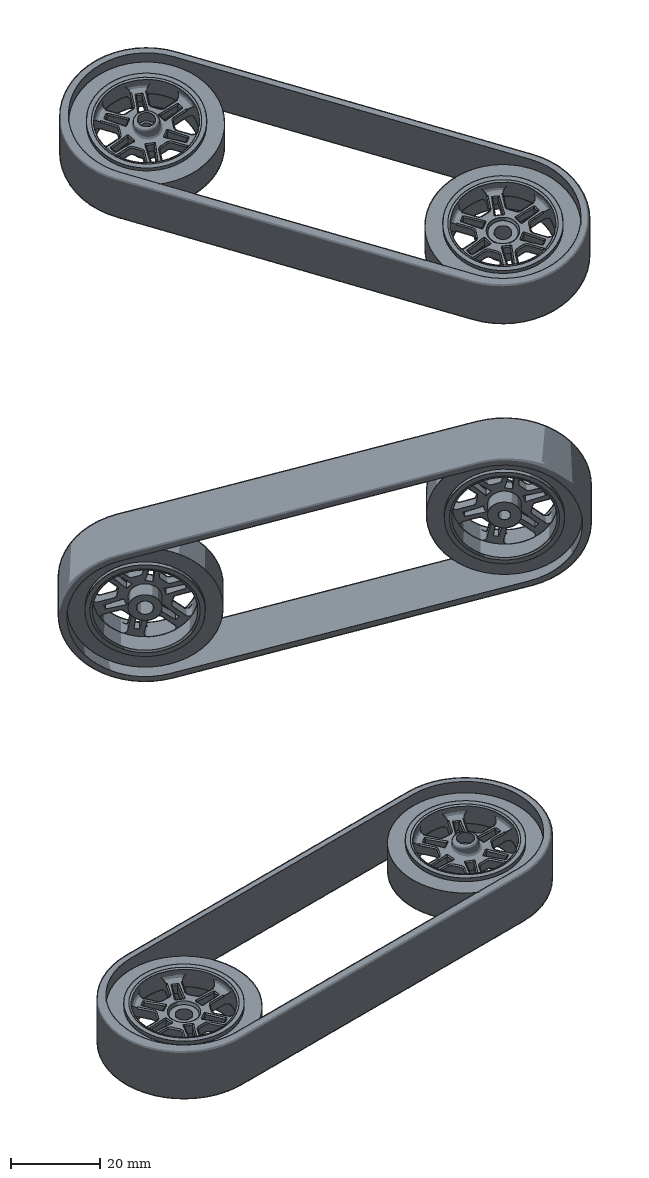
import cadquery as cq
import math

wheel_spacing = 85.0
belt_outer_radius = 19.5
belt_thickness = 2.0
belt_width = 14.6
belt_edge_fillet = 1.0

tyre_radius = belt_outer_radius - belt_thickness
tyre_width = 8.0
rim_outer_radius = 13.5
rim_lip = 1.05
rim_top = tyre_width / 2 + rim_lip
rim_inner_radius = 11.8
rim_chamfer_width = 0.55
rim_chamfer_depth = 0.2

disc_top = 2.4
disc_thickness = 2.6
disc_bottom = disc_top - disc_thickness
spoke_count = 6
spoke_half_width = 1.9
spoke_edge_chamfer = 0.3
flare_angle = 45.0
spoke_root_radius = 1.3
spoke_root_start = rim_inner_radius - spoke_root_radius
window_inner_radius = 6.3
window_rim_relief = 0.05
window_outer_radius = rim_inner_radius + window_rim_relief
window_corner_radius = 1.0

slot_inner_radius = 4.7
slot_outer_radius = 9.6
slot_inner_half_width = 0.9
slot_outer_half_width = 0.6

hub_radius = 3.8
hub_bottom = -tyre_width / 2

plain_bore_radius = 1.95
recess_floor_radius = 3.4
recess_rim_radius = 3.75
recess_depth = 0.8

boss_radius = 3.0
boss_top = tyre_width / 2 + 1.4
boss_edge_fillet = 0.9
boss_blend_radius = 1.3
boss_bore_radius = 1.4
boss_counterbore_radius = 2.0
boss_counterbore_depth = 3.0


def cylinder(radius, bottom, top):
    return cq.Workplane("XY").workplane(offset=bottom).circle(radius).extrude(top - bottom)


def around_spokes(body, start_angle):
    copies = cq.Workplane("XY")
    for index in range(spoke_count):
        angle = start_angle + index * 360 / spoke_count
        copies = copies.add(body.rotate((0, 0, 0), (0, 0, 1), angle).val())
    return copies.combine()


def make_belt():
    length = wheel_spacing + 2 * belt_outer_radius
    outer = cq.Workplane("XY").slot2D(length, 2 * belt_outer_radius)
    outer = outer.extrude(belt_width / 2, both=True)
    outer = outer.faces("|Z").edges().fillet(belt_edge_fillet)
    inner = cq.Workplane("XY").slot2D(length - 2 * belt_thickness, 2 * tyre_radius)
    return outer.cut(inner.extrude(belt_width / 2, both=True))


def make_wheel_blank():
    """Wheel without openings: tyre, rim, hub and a disc that curves up into the rim."""
    root_top = disc_top + spoke_root_radius
    arc_middle = spoke_root_radius * math.sqrt(0.5)
    chamfer_radius = rim_inner_radius + rim_chamfer_width
    chamfer_start = rim_top - rim_chamfer_depth
    return (
        cq.Workplane("XZ")
        .moveTo(0, disc_top)
        .lineTo(spoke_root_start, disc_top)
        .threePointArc(
            (spoke_root_start + arc_middle, root_top - arc_middle),
            (rim_inner_radius, root_top),
        )
        .lineTo(rim_inner_radius, chamfer_start)
        .lineTo(chamfer_radius, rim_top)
        .lineTo(rim_outer_radius, rim_top)
        .lineTo(rim_outer_radius, tyre_width / 2)
        .lineTo(tyre_radius, tyre_width / 2)
        .lineTo(tyre_radius, -tyre_width / 2)
        .lineTo(rim_outer_radius, -tyre_width / 2)
        .lineTo(rim_outer_radius, -rim_top)
        .lineTo(chamfer_radius, -rim_top)
        .lineTo(rim_inner_radius, -chamfer_start)
        .lineTo(rim_inner_radius, disc_bottom)
        .lineTo(hub_radius, disc_bottom)
        .lineTo(hub_radius, hub_bottom)
        .lineTo(0, hub_bottom)
        .close()
        .revolve(360, (0, 0, 0), (0, 1, 0))
    )


def trapezoid_prism(inner_radius, inner_half_width, outer_radius, outer_half_width):
    """Upright prism along +X from the bottom of the disc to the top of the rim."""
    return (
        cq.Workplane("XY")
        .workplane(offset=disc_bottom)
        .moveTo(inner_radius, inner_half_width)
        .lineTo(outer_radius, outer_half_width)
        .lineTo(outer_radius, -outer_half_width)
        .lineTo(inner_radius, -inner_half_width)
        .close()
        .extrude(rim_top - disc_bottom)
    )


def make_window():
    """Opening between two spokes, pointing along +X from the hub to the rim."""
    half_step = math.pi / spoke_count
    apex = spoke_half_width / math.sin(half_step)
    inner_half_width = (window_inner_radius - apex) * math.tan(half_step)
    outer_half_width = (rim_outer_radius - apex) * math.tan(half_step)
    sector = trapezoid_prism(window_inner_radius, inner_half_width, rim_outer_radius, outer_half_width)
    window = sector.intersect(cylinder(window_outer_radius, -rim_top, rim_top))
    return window.edges("|Z").fillet(window_corner_radius)


def make_edge_flare(opening):
    """Widening cut that chamfers an opening at the top of the disc, up to the spoke roots."""
    outline = opening.faces("<Z").val().outerWire()
    flare_start = disc_thickness - spoke_edge_chamfer
    flare = cq.Workplane("XY").add(outline.translate(cq.Vector(0, 0, flare_start))).toPending()
    flare = flare.extrude(spoke_edge_chamfer, taper=-flare_angle)
    return flare.intersect(cylinder(spoke_root_start, disc_bottom, disc_top))


def make_spoked_wheel():
    slot = trapezoid_prism(
        slot_inner_radius, slot_inner_half_width, slot_outer_radius, slot_outer_half_width
    )
    wheel = make_wheel_blank()
    for opening, start_angle in ((make_window(), 180 / spoke_count), (slot, 0)):
        wheel = wheel.cut(around_spokes(opening, start_angle))
        wheel = wheel.cut(around_spokes(make_edge_flare(opening), start_angle))
    return wheel


def make_plain_wheel():
    recess = (
        cq.Workplane("XY")
        .workplane(offset=disc_top - recess_depth)
        .circle(recess_floor_radius)
        .workplane(offset=recess_depth)
        .circle(recess_rim_radius)
        .loft()
    )
    wheel = make_spoked_wheel().cut(recess)
    return wheel.cut(cylinder(plain_bore_radius, hub_bottom, disc_top))


def make_bossed_wheel():
    blend_mid = boss_blend_radius * (1 - math.sqrt(0.5))
    edge_mid = boss_edge_fillet * (1 - math.sqrt(0.5))
    boss = (
        cq.Workplane("XZ")
        .moveTo(0, disc_top)
        .lineTo(boss_radius + boss_blend_radius, disc_top)
        .threePointArc(
            (boss_radius + blend_mid, disc_top + blend_mid),
            (boss_radius, disc_top + boss_blend_radius),
        )
        .lineTo(boss_radius, boss_top - boss_edge_fillet)
        .threePointArc(
            (boss_radius - edge_mid, boss_top - edge_mid),
            (boss_radius - boss_edge_fillet, boss_top),
        )
        .lineTo(0, boss_top)
        .close()
        .revolve(360, (0, 0, 0), (0, 1, 0))
    )
    wheel = make_spoked_wheel().union(boss)
    wheel = wheel.cut(cylinder(boss_counterbore_radius, boss_top - boss_counterbore_depth, boss_top))
    return wheel.cut(cylinder(boss_bore_radius, hub_bottom, boss_top))


bossed_wheel = make_bossed_wheel().translate((-wheel_spacing / 2, 0, 0))
plain_wheel = make_plain_wheel().translate((wheel_spacing / 2, 0, 0))
result = make_belt().union(bossed_wheel).union(plain_wheel)